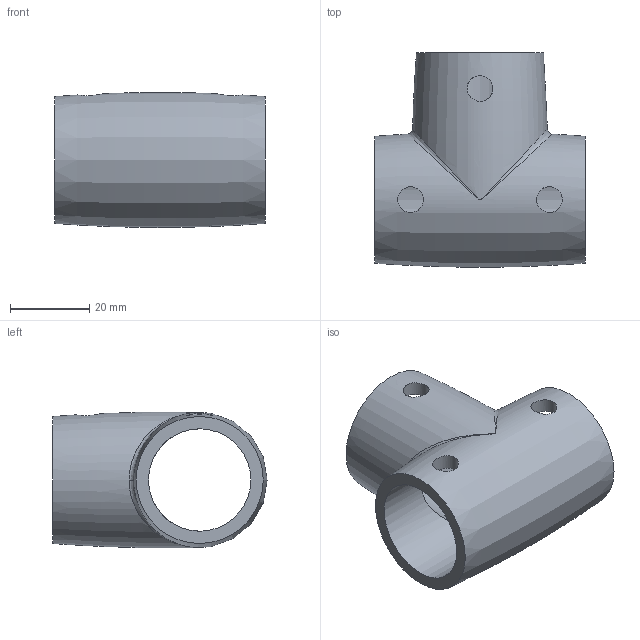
import cadquery as cq

run_length = 53.0
end_radius = 16.0
middle_radius = 17.0

branch_length = 37.0
branch_bulge = 0.46

bore_radius = 12.9
blend_radius = 1.3

hole_diameter = 6.5
hole_end_distance = 9.0

clearance = 1.0


def make_run():
    half_length = run_length / 2
    return (
        cq.Workplane("XY")
        .moveTo(-half_length, 0)
        .lineTo(-half_length, end_radius)
        .threePointArc((0, middle_radius), (half_length, end_radius))
        .lineTo(half_length, 0)
        .close()
        .revolve(360, (0, 0, 0), (1, 0, 0))
    )


def make_branch():
    halfway_radius = (middle_radius + end_radius) / 2 + branch_bulge
    return (
        cq.Workplane("YZ")
        .lineTo(0, middle_radius)
        .threePointArc((branch_length / 2, halfway_radius), (branch_length, end_radius))
        .lineTo(branch_length, 0)
        .close()
        .revolve(360, (0, 0, 0), (1, 0, 0))
    )


def blend_junction(body):
    reach = middle_radius + clearance
    junction_box = cq.selectors.BoxSelector(
        (-reach, -clearance, -reach),
        (reach, reach, reach),
        boundingbox=True,
    )
    return body.edges(junction_box).fillet(blend_radius)


def make_bores():
    run_bore = cq.Workplane("YZ").circle(bore_radius).extrude(run_length / 2, both=True)
    branch_bore = cq.Workplane("XZ").circle(bore_radius).extrude(-branch_length)
    return run_bore.union(branch_bore)


def make_screw_holes():
    run_hole_x = run_length / 2 - hole_end_distance
    branch_hole_y = branch_length - hole_end_distance
    return (
        cq.Workplane("XY")
        .pushPoints([(-run_hole_x, 0), (run_hole_x, 0), (0, branch_hole_y)])
        .circle(hole_diameter / 2)
        .extrude(middle_radius + clearance)
    )


outside = make_run().union(make_branch())
result = blend_junction(outside).cut(make_bores()).cut(make_screw_holes())